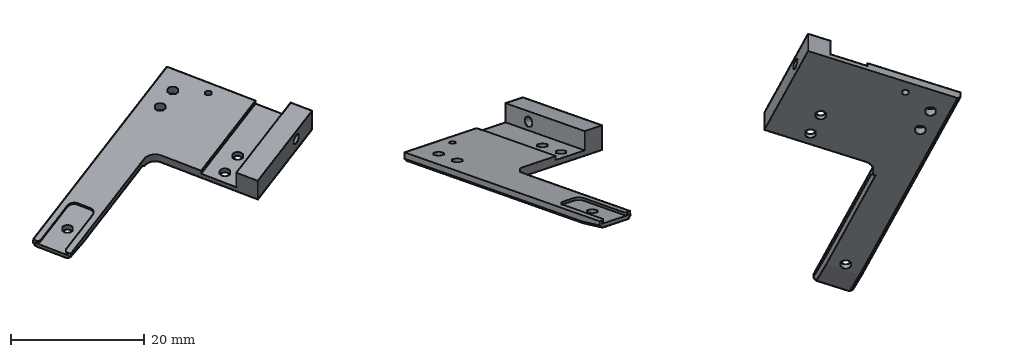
import cadquery as cq

WIDTH = 24.8
LENGTH = 42.0
PLATE_TOP = 1.5
ARM_WIDTH = 6.43
HEAD_FRONT = 25.0
INNER_RADIUS = 1.9

BLOCK_TOP = 3.95
BLOCK_LEFT = 21.13
CHANNEL_LEFT = 15.1
CHANNEL_FLOOR = 0.9

POCKET_WIDTH = 4.55
POCKET_LENGTH = 10.2
POCKET_FLOOR = 1.0
POCKET_RADIUS = 1.2
POCKET_UNDERCUT = 15
MOUTH_RADIUS = 0.67
TAPER_LENGTH = 3.95
TAPER_RISE = 0.38
TIP_SETBACK = (PLATE_TOP - TAPER_RISE) * TAPER_RISE / TAPER_LENGTH
EDGE_CHAMFER = 0.5

ARM_CENTER = ARM_WIDTH / 2
HOLE_DIAMETER = 1.65
HOLE_PITCH = 4.0
TIP_HOLE_Y = 5.0
HEAD_HOLE_Y = 33.98
CHANNEL_HOLE_X = 18.1
CHANNEL_HOLE_Y = 26.95
PIN_HOLE_DIAMETER = 1.0
PIN_HOLE_X = 8.15
PIN_HOLE_Y = 40.03
SIDE_HOLE_DIAMETER = 1.6
SIDE_HOLE_Y = 37.05
SIDE_HOLE_Z = 2.25

MARGIN = 0.4


def box(x0, x1, y0, y1, z0, z1):
    return cq.Workplane("XY").box(x1 - x0, y1 - y0, z1 - z0, centered=False).translate((x0, y0, z0))


def plate():
    """L-shaped plate with a rounded inner corner, stepped up to the block."""
    outline = (
        cq.Workplane("XY")
        .polyline([
            (0, 0), (ARM_WIDTH, 0), (ARM_WIDTH, HEAD_FRONT),
            (WIDTH, HEAD_FRONT), (WIDTH, LENGTH), (0, LENGTH),
        ])
        .close()
        .extrude(BLOCK_TOP)
    )
    inner_corner = cq.selectors.NearestToPointSelector((ARM_WIDTH, HEAD_FRONT, BLOCK_TOP / 2))
    body = outline.edges(inner_corner).fillet(INNER_RADIUS)
    body = body.cut(box(-MARGIN, BLOCK_LEFT, -MARGIN, LENGTH + MARGIN, PLATE_TOP, BLOCK_TOP + MARGIN))
    return body.cut(box(CHANNEL_LEFT, BLOCK_LEFT, -MARGIN, LENGTH + MARGIN, CHANNEL_FLOOR, BLOCK_TOP))


def tip_pocket():
    """Undercut pocket open at the tip, with its mouth flaring out in rounds."""
    half = POCKET_WIDTH / 2
    flare = half + MOUTH_RADIUS
    outside = ARM_WIDTH
    corner = half - POCKET_RADIUS
    mouth_y = TIP_SETBACK / 2
    return (
        cq.Workplane("XY", origin=(ARM_CENTER, 0, POCKET_FLOOR))
        .moveTo(-outside, -outside)
        .lineTo(outside, -outside)
        .lineTo(outside, mouth_y)
        .lineTo(flare, mouth_y)
        .tangentArcPoint((half, mouth_y + MOUTH_RADIUS), relative=False)
        .lineTo(half, POCKET_LENGTH - POCKET_RADIUS)
        .tangentArcPoint((corner, POCKET_LENGTH), relative=False)
        .lineTo(-corner, POCKET_LENGTH)
        .tangentArcPoint((-half, POCKET_LENGTH - POCKET_RADIUS), relative=False)
        .lineTo(-half, mouth_y + MOUTH_RADIUS)
        .tangentArcPoint((-flare, mouth_y), relative=False)
        .lineTo(-outside, mouth_y)
        .close()
        .extrude(PLATE_TOP - POCKET_FLOOR, taper=POCKET_UNDERCUT)
    )


def tip_face():
    """Sliver that leans the end face back, square to the tapered underside."""
    return (
        cq.Workplane("YZ")
        .polyline([(0, TAPER_RISE), (TIP_SETBACK, PLATE_TOP), (0, PLATE_TOP)])
        .close()
        .extrude(ARM_WIDTH)
    )


def tip_taper():
    """Wedge that thins the underside towards the tip."""
    return (
        cq.Workplane("YZ")
        .polyline([(0, 0), (TAPER_LENGTH, 0), (0, TAPER_RISE)])
        .close()
        .extrude(ARM_WIDTH)
    )


def chamfer_cutter(edge_x, outward, end_y):
    """Chamfer of a lower side edge: level up to the taper, then parallel to it."""
    def section(y, z):
        top = EDGE_CHAMFER + MARGIN
        points = [
            cq.Vector(edge_x + outward * MARGIN, y, z + top),
            cq.Vector(edge_x + outward * MARGIN, y, z - MARGIN),
            cq.Vector(edge_x - outward * top, y, z - MARGIN),
        ]
        return cq.Wire.makePolygon(points, close=True)

    level = cq.Solid.makeLoft([section(TAPER_LENGTH, 0), section(end_y, 0)], True)
    sloped = cq.Solid.makeLoft([section(0, TAPER_RISE), section(TAPER_LENGTH, 0)], True)
    return cq.Workplane(level).union(cq.Workplane(sloped))


def right_chamfer():
    """Right-hand arm chamfer, running out at 45 degrees before the inner corner."""
    end_y = HEAD_FRONT - INNER_RADIUS
    runout = (
        cq.Workplane("YZ")
        .polyline([
            (0, -MARGIN), (end_y + MARGIN, -MARGIN),
            (end_y - EDGE_CHAMFER - MARGIN, EDGE_CHAMFER + MARGIN),
            (end_y - EDGE_CHAMFER - MARGIN, BLOCK_TOP), (0, BLOCK_TOP),
        ])
        .close()
        .extrude(WIDTH)
    )
    return chamfer_cutter(ARM_WIDTH, 1, end_y).intersect(runout)


def vertical_holes():
    plain_holes = [
        (ARM_CENTER, TIP_HOLE_Y),
        (ARM_CENTER, HEAD_HOLE_Y),
        (ARM_CENTER, HEAD_HOLE_Y + HOLE_PITCH),
        (CHANNEL_HOLE_X, CHANNEL_HOLE_Y),
        (CHANNEL_HOLE_X, CHANNEL_HOLE_Y + HOLE_PITCH),
    ]
    holes = cq.Workplane("XY").pushPoints(plain_holes).circle(HOLE_DIAMETER / 2).extrude(BLOCK_TOP)
    pin_hole = (
        cq.Workplane("XY")
        .center(PIN_HOLE_X, PIN_HOLE_Y)
        .circle(PIN_HOLE_DIAMETER / 2)
        .extrude(BLOCK_TOP)
    )
    return holes.union(pin_hole)


def side_hole():
    """Hole through the block along X, clear of the plate."""
    return (
        cq.Workplane("YZ", origin=(BLOCK_LEFT, 0, 0))
        .center(SIDE_HOLE_Y, SIDE_HOLE_Z)
        .circle(SIDE_HOLE_DIAMETER / 2)
        .extrude(WIDTH - BLOCK_LEFT)
    )


result = (
    plate()
    .cut(tip_pocket())
    .cut(tip_taper())
    .cut(tip_face())
    .cut(chamfer_cutter(0, -1, LENGTH))
    .cut(right_chamfer())
    .cut(vertical_holes())
    .cut(side_hole())
)